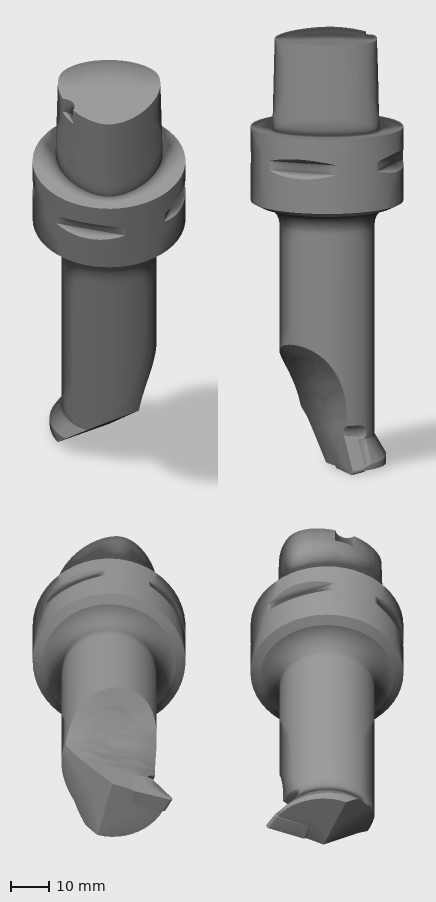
import cadquery as cq
import math


shank_height = 23.8
shank_base_radius = 14.0
shank_lobe_rise = 0.9
shank_taper = 1 / 40
lobe_count = 3
lobe_direction = 90
face_count = 2 * lobe_count
points_per_face = 9
key_slot_radius = 3.2
key_slot_depth = 4.3

collar_radius = 40.0 / 2
collar_height = 19.7
notch_count = 4
notch_floor_distance = 17.7
notch_floor_width = 2.5
notch_flank_angle = 30
notch_center_z = -8.1
notch_margin = 1.1

neck_radius = 25.0 / 2
neck_fillet = 5.0
shoulder_drop = 1.3

head_top_z = -81.9
head_bottom_z = -89.4
flare_angle = 30
head_side_radius = 15.0
head_side_x = -1.0
end_chamfer_start_z = -76.2

flute_radius = 25.0
flute_floor_y = 0.63
flute_tangent_z = -78.7
flute_direction = cq.Vector(1, 0.065, -0.25)
flute_half_length = 22.8
cut_clear = 45.6

insert_edge = 11.6
insert_thickness = 4.0
insert_corner_angle = 55
insert_relief_angle = 7
insert_nose_radius = 0.8
insert_edge_rise = 1.5
insert_top_y = 0.2
nose_left_x = -17.1
tool_bottom_z = shank_height - 114.0
seat_inset = 0.5
seat_top_z = -81.7

relief_radius = 4.5 / 2
relief_x = -12.8
relief_z = -80.0

bisector = math.radians(insert_edge_rise + insert_corner_angle / 2)
nose_offset = insert_nose_radius / math.sin(math.radians(insert_corner_angle / 2))
corner_x = nose_left_x + insert_nose_radius - nose_offset * math.cos(bisector)
corner_z = tool_bottom_z + insert_nose_radius - nose_offset * math.sin(bisector)
lower_edge_angle = math.radians(insert_edge_rise)
flank_edge_angle = math.radians(insert_edge_rise + insert_corner_angle)


def shank_point(mean_radius, degrees, z):
    """Point on the lobed outline where the outward normal has this angle."""
    normal = math.radians(degrees)
    phase = math.radians(lobe_count * (degrees - lobe_direction))
    reach = mean_radius + shank_lobe_rise * math.cos(phase)
    slope = -lobe_count * shank_lobe_rise * math.sin(phase)
    x = reach * math.cos(normal) - slope * math.sin(normal)
    y = reach * math.sin(normal) + slope * math.cos(normal)
    return cq.Vector(x, y, z)


def shank_outline(mean_radius, z):
    face_angle = 360 / face_count
    step = face_angle / (points_per_face - 1)
    edges = []
    for face in range(face_count):
        start = face * face_angle
        points = [shank_point(mean_radius, start + i * step, z) for i in range(points_per_face)]
        edges.append(cq.Edge.makeSpline(points))
    return cq.Wire.assembleEdges(edges)


def make_shank():
    top_radius = shank_base_radius - shank_height * shank_taper
    base = shank_outline(shank_base_radius, 0)
    top = shank_outline(top_radius, shank_height)
    shank = cq.Workplane(cq.Solid.makeLoft([base, top], True))
    key_slot = (
        cq.Workplane("XY", origin=(0, -shank_base_radius, shank_height))
        .circle(key_slot_radius)
        .extrude(-key_slot_depth)
    )
    return shank.cut(key_slot)


def make_collar_and_neck():
    fillet_top_z = -collar_height - shoulder_drop
    fillet_center_x = neck_radius + neck_fillet
    fillet_center_z = fillet_top_z - neck_fillet
    diagonal = neck_fillet * math.sqrt(0.5)
    return (
        cq.Workplane("XZ")
        .lineTo(collar_radius, 0)
        .lineTo(collar_radius, -collar_height)
        .lineTo(fillet_center_x, fillet_top_z)
        .threePointArc(
            (fillet_center_x - diagonal, fillet_center_z + diagonal),
            (neck_radius, fillet_center_z),
        )
        .lineTo(neck_radius, head_top_z)
        .lineTo(0, head_top_z)
        .close()
        .revolve(360, (0, 0), (0, 1))
    )


def make_gripper_notch(degrees):
    outer = collar_radius + notch_margin
    half_floor = notch_floor_width / 2
    half_mouth = half_floor + (outer - notch_floor_distance) * math.tan(math.radians(notch_flank_angle))
    return (
        cq.Workplane("XZ", origin=(0, 0, notch_center_z))
        .moveTo(notch_floor_distance, -half_floor)
        .lineTo(outer, -half_mouth)
        .lineTo(outer, half_mouth)
        .lineTo(notch_floor_distance, half_floor)
        .close()
        .extrude(collar_radius, both=True)
        .rotate((0, 0, 0), (0, 0, 1), degrees)
    )


def make_head():
    """Flared cone trimmed by an upright cylinder set off towards -X."""
    height = head_top_z - head_bottom_z
    bottom_radius = neck_radius + height * math.tan(math.radians(flare_angle))
    cone = cq.Workplane(
        cq.Solid.makeCone(bottom_radius, neck_radius, height, cq.Vector(0, 0, head_bottom_z))
    )
    side = (
        cq.Workplane("XY", origin=(head_side_x, 0, head_bottom_z))
        .circle(head_side_radius)
        .extrude(height)
    )
    return cone.intersect(side)


def make_flute():
    arc_center_y = flute_floor_y + flute_radius
    diagonal = flute_radius * math.sqrt(0.5)
    start = flute_direction * -flute_half_length
    profile = (
        cq.Workplane("YZ", origin=start.toTuple())
        .moveTo(flute_floor_y, flute_tangent_z - cut_clear)
        .lineTo(flute_floor_y, flute_tangent_z)
        .threePointArc(
            (arc_center_y - diagonal, flute_tangent_z + diagonal),
            (arc_center_y, flute_tangent_z + flute_radius),
        )
        .lineTo(arc_center_y, flute_tangent_z - cut_clear)
        .close()
    )
    sweep = flute_direction * (2 * flute_half_length)
    return cq.Workplane(cq.Solid.extrudeLinear(profile.val(), [], sweep))


def make_end_chamfer():
    """Wedge below the 45 degree plane on the +X side."""
    return (
        cq.Workplane("XZ")
        .moveTo(neck_radius + cut_clear, end_chamfer_start_z + cut_clear)
        .lineTo(neck_radius - cut_clear, end_chamfer_start_z - cut_clear)
        .lineTo(neck_radius + cut_clear, end_chamfer_start_z - cut_clear)
        .close()
        .extrude(cut_clear, both=True)
    )


def make_relief():
    return (
        cq.Workplane("XZ", origin=(relief_x, flute_floor_y, relief_z))
        .circle(relief_radius)
        .extrude(head_side_radius)
    )


def make_seat_flank():
    """Removes the head outside the relieved plane that carries on the insert's flank."""
    block = (
        cq.Workplane("XY")
        .box(cut_clear, 2 * cut_clear, 2 * cut_clear, centered=(False, True, True))
        .translate((-cut_clear + seat_inset, 0, 0))
        .rotate((0, 0, 0), (0, 0, 1), insert_relief_angle)
        .rotate((0, 0, 0), (0, 1, 0), 90 - math.degrees(flank_edge_angle))
        .translate((corner_x, insert_top_y, corner_z))
    )
    below_seat_top = (
        cq.Workplane("XY", origin=(0, 0, seat_top_z))
        .rect(2 * cut_clear, 2 * cut_clear)
        .extrude(-cut_clear)
    )
    return block.intersect(below_seat_top)


def make_insert():
    lower_x = insert_edge * math.cos(lower_edge_angle)
    lower_z = insert_edge * math.sin(lower_edge_angle)
    flank_x = insert_edge * math.cos(flank_edge_angle)
    flank_z = insert_edge * math.sin(flank_edge_angle)
    blank = (
        cq.Workplane("XZ", origin=(corner_x, insert_top_y, corner_z))
        .polyline([(0, 0), (lower_x, lower_z), (lower_x + flank_x, lower_z + flank_z), (flank_x, flank_z)])
        .close()
        .extrude(insert_thickness, taper=insert_relief_angle)
    )
    return blank.edges("not #Y").fillet(insert_nose_radius)


def make_holder(insert):
    holder = make_shank().union(make_collar_and_neck()).union(make_head())
    for index in range(notch_count):
        holder = holder.cut(make_gripper_notch((index + 0.5) * 360 / notch_count))
    holder = holder.cut(make_flute())
    holder = holder.cut(make_end_chamfer())
    holder = holder.cut(make_relief())
    holder = holder.cut(make_seat_flank())
    return holder.cut(insert)


insert = make_insert()
holder = make_holder(insert)

result = cq.Compound.makeCompound([holder.solids().val(), insert.solids().val()])